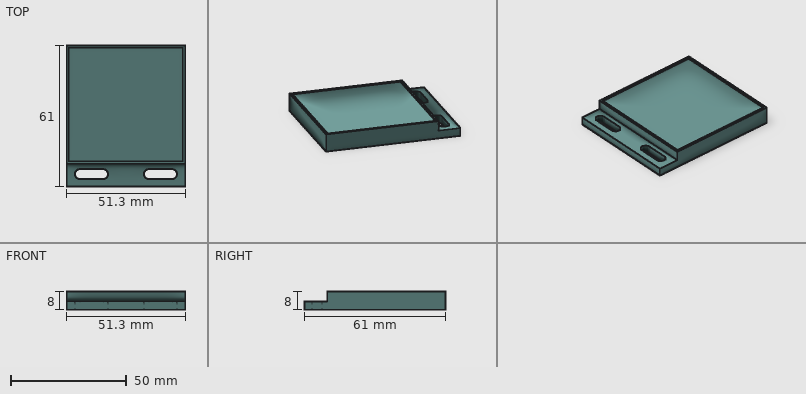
import cadquery as cq

width = 51.3
length = 61.0
height = 8.0

flange_depth = 9.9
flange_height = 3.65

rim = 1.05
recess_depth = 0.2

slot_length = 14.2
slot_width = 4.2
slot_spacing = 29.75
slot_from_front = 5.4

body_length = length - flange_depth
front_y = -length / 2
body_center_y = front_y + flange_depth + body_length / 2

part = (
    cq.Workplane("YZ")
    .moveTo(front_y, 0)
    .lineTo(-front_y, 0)
    .lineTo(-front_y, height)
    .lineTo(front_y + flange_depth, height)
    .lineTo(front_y + flange_depth, flange_height)
    .lineTo(front_y, flange_height)
    .close()
    .extrude(width / 2, both=True)
)

recess = (
    cq.Workplane("XY", origin=(0, body_center_y, height - recess_depth))
    .rect(width - 2 * rim, body_length - 2 * rim)
    .extrude(recess_depth)
)

slots = (
    cq.Workplane("XY", origin=(0, front_y + slot_from_front, 0))
    .pushPoints([(-slot_spacing / 2, 0), (slot_spacing / 2, 0)])
    .slot2D(slot_length, slot_width)
    .extrude(flange_height)
)

result = part.cut(recess).cut(slots)